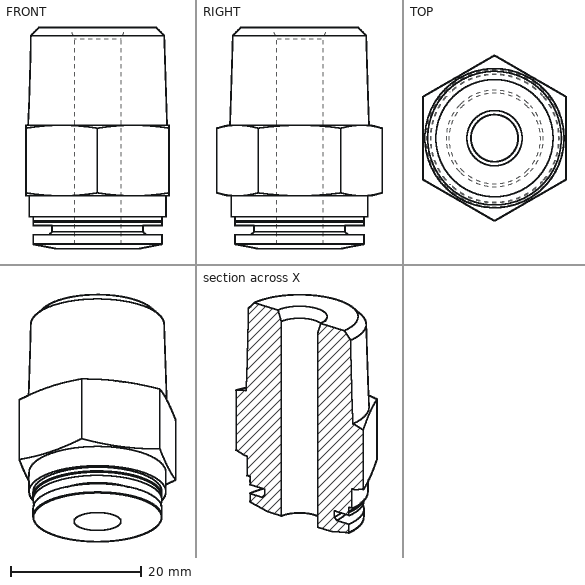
import cadquery as cq
import math

total_height = 33.95
rim_bottom = 0.68
rim_edge_top = 0.8
rim_top = 2.17
neck_flare_top = 2.6
ring_bottom = 3.55
groove_bottom = 4.1
groove_top = 4.3
collar_bottom = 4.92
hex_bottom = 8.1
hex_top = 18.97

button_face_diameter = 12.7
button_diameter = 19.8
rim_edge_width = 0.07
neck_diameter = 14.0
neck_flare_width = 0.45
groove_depth = 0.1
collar_diameter = 21.0

hex_across_flats = 22.0
hex_across_corners = hex_across_flats / math.cos(math.radians(30))
hex_face_diameter = 21.85
hex_bevel_angle = 15.0

thread_taper = 1 / 16
thread_tip_diameter = 20.5
thread_chamfer = 1.25

bore_diameter = 7.2
bore_mouth_diameter = 8.5
bore_mouth_depth = 1.73


def revolve_profile(points):
    """Revolve (radius, height) points about the Z axis."""
    return cq.Workplane("XZ").polyline(points).close().revolve(360, (0, 0), (0, 1))


def make_button_and_collar():
    button_radius = button_diameter / 2
    neck_radius = neck_diameter / 2
    collar_radius = collar_diameter / 2
    groove_radius = button_radius - groove_depth
    return revolve_profile([
        (0, 0),
        (button_face_diameter / 2, 0),
        (button_radius - rim_edge_width, rim_bottom),
        (button_radius, rim_edge_top),
        (button_radius, rim_top),
        (neck_radius + neck_flare_width, rim_top),
        (neck_radius, neck_flare_top),
        (neck_radius, ring_bottom),
        (button_radius, ring_bottom),
        (button_radius, groove_bottom),
        (groove_radius, (groove_bottom + groove_top) / 2),
        (button_radius, groove_top),
        (button_radius, collar_bottom),
        (collar_radius, collar_bottom),
        (collar_radius, hex_bottom),
        (0, hex_bottom),
    ])


def make_hexagon():
    """Hexagon with flats facing +X and -X and both ends bevelled by cones."""
    prism = (
        cq.Workplane("XY", origin=(0, 0, hex_bottom))
        .polygon(6, hex_across_corners)
        .extrude(hex_top - hex_bottom)
        .rotate((0, 0, 0), (0, 0, 1), 30)
    )
    face_radius = hex_face_diameter / 2
    corner_radius = hex_across_corners / 2
    bevel_drop = (corner_radius - face_radius) * math.tan(math.radians(hex_bevel_angle))
    bevel_envelope = revolve_profile([
        (0, hex_bottom),
        (face_radius, hex_bottom),
        (corner_radius, hex_bottom + bevel_drop),
        (corner_radius, hex_top - bevel_drop),
        (face_radius, hex_top),
        (0, hex_top),
    ])
    return prism.intersect(bevel_envelope)


def make_threaded_end():
    chamfer_bottom = total_height - thread_chamfer
    tip_radius = thread_tip_diameter / 2
    base_radius = tip_radius + (chamfer_bottom - hex_top) * thread_taper / 2
    return revolve_profile([
        (0, hex_top),
        (base_radius, hex_top),
        (tip_radius, chamfer_bottom),
        (tip_radius - thread_chamfer, total_height),
        (0, total_height),
    ])


def make_bore():
    bore_radius = bore_diameter / 2
    return revolve_profile([
        (0, 0),
        (bore_radius, 0),
        (bore_radius, total_height - bore_mouth_depth),
        (bore_mouth_diameter / 2, total_height),
        (0, total_height),
    ])


result = (
    make_button_and_collar()
    .union(make_hexagon())
    .union(make_threaded_end())
    .cut(make_bore())
)